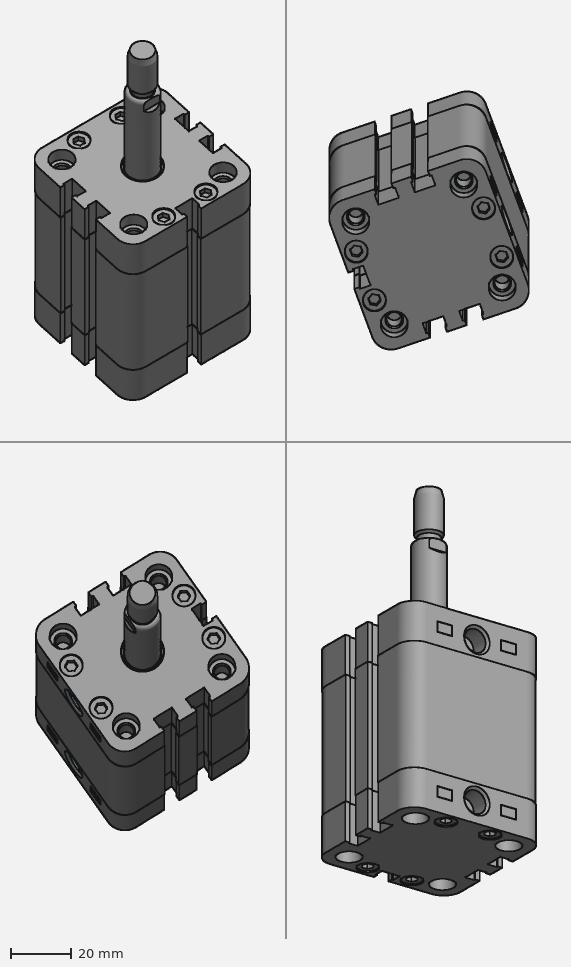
import cadquery as cq
import math

TOTAL_HEIGHT = 131.0
BLOCK_WIDTH = 54.8
BLOCK_HEIGHT = 75.2
CAP_HEIGHT = 14.5
BARREL_HEIGHT = BLOCK_HEIGHT - 2 * CAP_HEIGHT
CAP_CORNER_RADIUS = 6.7
BARREL_CORNER_RADIUS = 7.1
HALF_WIDTH = BLOCK_WIDTH / 2

SLOT_PITCH = 12.8
SLOT_DEPTH = 5.5
SLOT_INNER_WIDTH = 7.0
SLOT_MOUTH_WIDTH = 5.6
SLOT_LIP_THICKNESS = 1.8
CAP_SLOT_CLEARANCE = 0.16

MOUNT_PITCH = 38.0
MOUNT_COUNTERBORE_DIAMETER = 9.0
MOUNT_COUNTERBORE_DEPTH = 5.0
MOUNT_CHAMFER_DIAMETER = 6.0
MOUNT_HOLE_DIAMETER = 5.0
MOUNT_HOLE_DEPTH = 12.5

SCREW_PITCH_X = 44.8
SCREW_PITCH_Y = 18.0
SCREW_RECESS_DIAMETER = 7.7
SCREW_HEAD_DIAMETER = 7.5
SCREW_RECESS_DEPTH = 0.5
SOCKET_ACROSS_FLATS = 3.7
SOCKET_DEPTH = 2.0

PORT_FROM_END = 8.3
PORT_MOUTH_DIAMETER = 10.5
PORT_DIAMETER = 8.5
PORT_DEPTH = 7.9

LABEL_WIDTH = 6.0
LABEL_HEIGHT = 3.8
LABEL_DEPTH = 0.3
LABEL_PITCH = 26.0
LABEL_FROM_END = 7.6

ROD_DIAMETER = 12.0
ROD_SHOULDER_RADIUS = 1.5
ROD_SEAT_Z = BLOCK_HEIGHT - CAP_HEIGHT
ROD_SHOULDER_Z = 112.0
UNDERCUT_DIAMETER = 8.1
UNDERCUT_MOUTH_DIAMETER = 8.5
THREAD_DIAMETER = 10.0
THREAD_START_Z = 115.0
THREAD_TIP_DIAMETER = 8.5
THREAD_TIP_CHAMFER_HEIGHT = 2.6
FLATS_WIDTH = 10.0
FLATS_BOTTOM_Z = 107.8

WIPER_OUTER_DIAMETER = 14.4
WIPER_INNER_DIAMETER = 13.8
WIPER_RECESS_DEPTH = 0.4
WIPER_GAP_DIAMETER = 12.6
WIPER_GAP_DEPTH = 1.3


def slot_cutter(height, clearance):
    """Undercut slot open towards +X, with its mouth in the plane X = 0.

    The clearance widens the slot on each side.
    """
    mouth_width = SLOT_MOUTH_WIDTH + 2 * clearance
    inner_width = SLOT_INNER_WIDTH + 2 * clearance
    inner_depth = SLOT_DEPTH - SLOT_LIP_THICKNESS
    mouth = cq.Workplane("XY").box(2 * SLOT_DEPTH, mouth_width, height, centered=(True, True, False))
    inner = (
        cq.Workplane("XY")
        .box(inner_depth, inner_width, height, centered=(False, True, False))
        .translate((-SLOT_DEPTH, 0, 0))
    )
    return mouth.union(inner)


def profile_block(height, corner_radius, slot_clearance):
    """Square block with rounded vertical edges and the five slots."""
    block = (
        cq.Workplane("XY")
        .box(BLOCK_WIDTH, BLOCK_WIDTH, height, centered=(True, True, False))
        .edges("|Z")
        .fillet(corner_radius)
    )
    slot = slot_cutter(height, slot_clearance)
    block = block.cut(slot.translate((HALF_WIDTH, 0, 0)))
    for turn in (90, -90):
        for offset in (-SLOT_PITCH / 2, SLOT_PITCH / 2):
            side_slot = slot.translate((HALF_WIDTH, offset, 0)).rotate((0, 0, 0), (0, 0, 1), turn)
            block = block.cut(side_slot)
    return block


def mounting_holes():
    """Counterbored blind holes, going down from the plane Z = CAP_HEIGHT."""
    chamfer = (MOUNT_CHAMFER_DIAMETER - MOUNT_HOLE_DIAMETER) / 2
    floor = CAP_HEIGHT - MOUNT_COUNTERBORE_DEPTH
    bottom = CAP_HEIGHT - MOUNT_HOLE_DEPTH
    hole = (
        cq.Workplane("XZ")
        .moveTo(0, CAP_HEIGHT)
        .lineTo(MOUNT_COUNTERBORE_DIAMETER / 2, CAP_HEIGHT)
        .lineTo(MOUNT_COUNTERBORE_DIAMETER / 2, floor)
        .lineTo(MOUNT_CHAMFER_DIAMETER / 2, floor)
        .lineTo(MOUNT_HOLE_DIAMETER / 2, floor - chamfer)
        .lineTo(MOUNT_HOLE_DIAMETER / 2, bottom)
        .lineTo(0, bottom)
        .close()
        .revolve(360, (0, 0, 0), (0, 1, 0))
    )
    centres = cq.Workplane("XY").rect(MOUNT_PITCH, MOUNT_PITCH, forConstruction=True).vertices()
    return centres.eachpoint(hole.val(), combine=False, useLocalCoordinates=True)


def screw_head_cutter():
    """Tapered recess down to the screw head, and the hexagon socket in the head."""
    socket_corner_diameter = SOCKET_ACROSS_FLATS / math.cos(math.pi / 6)
    outer_face = cq.Workplane("XY", origin=(0, 0, CAP_HEIGHT))
    recess = (
        outer_face.circle(SCREW_RECESS_DIAMETER / 2)
        .workplane(offset=-SCREW_RECESS_DEPTH)
        .circle(SCREW_HEAD_DIAMETER / 2)
        .loft()
    )
    socket = (
        outer_face.polygon(6, socket_corner_diameter)
        .extrude(-SCREW_RECESS_DEPTH - SOCKET_DEPTH)
        .rotate((0, 0, 0), (0, 0, 1), 90)
    )
    return recess.union(socket)


def screw_heads():
    centres = cq.Workplane("XY").rect(SCREW_PITCH_X, SCREW_PITCH_Y, forConstruction=True).vertices()
    return centres.eachpoint(screw_head_cutter().val(), combine=False, useLocalCoordinates=True)


def port_cutter():
    """Blind port with a chamfered mouth, going in from the -X side."""
    chamfer = (PORT_MOUTH_DIAMETER - PORT_DIAMETER) / 2
    port_z = CAP_HEIGHT - PORT_FROM_END
    face = cq.Workplane("YZ", origin=(-HALF_WIDTH, 0, port_z))
    bore = face.circle(PORT_DIAMETER / 2).extrude(PORT_DEPTH)
    mouth = cq.Workplane(
        cq.Solid.makeCone(
            PORT_MOUTH_DIAMETER / 2,
            PORT_DIAMETER / 2,
            chamfer,
            pnt=cq.Vector(-HALF_WIDTH, 0, port_z),
            dir=cq.Vector(1, 0, 0),
        )
    )
    return bore.union(mouth)


def label_recesses():
    """Two shallow rectangular recesses beside the port."""
    return (
        cq.Workplane("YZ", origin=(-HALF_WIDTH, 0, CAP_HEIGHT - LABEL_FROM_END))
        .pushPoints([(-LABEL_PITCH / 2, 0), (LABEL_PITCH / 2, 0)])
        .rect(LABEL_WIDTH, LABEL_HEIGHT)
        .extrude(LABEL_DEPTH)
    )


def end_cap():
    """Cap with its inner face at Z = 0 and its outer face at Z = CAP_HEIGHT."""
    cap = profile_block(CAP_HEIGHT, CAP_CORNER_RADIUS, CAP_SLOT_CLEARANCE)
    cap = cap.cut(mounting_holes())
    cap = cap.cut(screw_heads())
    return cap.cut(port_cutter()).cut(label_recesses())


def wiper_cutter():
    """Tapered recess in the outer face and the deeper gap around the rod."""
    outer_face = cq.Workplane("XY", origin=(0, 0, CAP_HEIGHT))
    recess = (
        outer_face.circle(WIPER_OUTER_DIAMETER / 2)
        .workplane(offset=-WIPER_RECESS_DEPTH)
        .circle(WIPER_INNER_DIAMETER / 2)
        .loft()
    )
    gap = outer_face.circle(WIPER_GAP_DIAMETER / 2).extrude(-WIPER_GAP_DEPTH)
    return recess.union(gap)


def upper_cap():
    """End cap with the rod bore and the wiper."""
    rod_bore = cq.Workplane("XY").circle(ROD_DIAMETER / 2).extrude(CAP_HEIGHT)
    return end_cap().cut(rod_bore).cut(wiper_cutter()).translate((0, 0, ROD_SEAT_Z))


def lower_cap():
    """End cap mirrored so that its outer face is the bottom of the block."""
    return end_cap().mirror("XY").translate((0, 0, CAP_HEIGHT))


def barrel():
    return profile_block(BARREL_HEIGHT, BARREL_CORNER_RADIUS, 0).translate((0, 0, CAP_HEIGHT))


def rod_flat_cutter():
    """Wrench flat on the +X side, with a 45 degree run-out at its lower end."""
    flat_x = FLATS_WIDTH / 2
    run_out = ROD_DIAMETER - flat_x
    return (
        cq.Workplane("XZ")
        .moveTo(flat_x, ROD_SHOULDER_Z)
        .lineTo(flat_x, FLATS_BOTTOM_Z)
        .lineTo(flat_x + run_out, FLATS_BOTTOM_Z - run_out)
        .lineTo(flat_x + run_out, ROD_SHOULDER_Z)
        .close()
        .extrude(ROD_DIAMETER / 2, both=True)
    )


def piston_rod():
    """Turned rod with a rounded shoulder, a thread undercut and a threaded end."""
    rod_radius = ROD_DIAMETER / 2
    undercut_radius = UNDERCUT_DIAMETER / 2
    undercut_mouth_radius = UNDERCUT_MOUTH_DIAMETER / 2
    mouth_step = undercut_mouth_radius - undercut_radius
    thread_radius = THREAD_DIAMETER / 2
    thread_step = thread_radius - undercut_radius
    shoulder_bend = ROD_SHOULDER_RADIUS * (1 - math.sqrt(0.5))
    rod = (
        cq.Workplane("XZ")
        .moveTo(0, ROD_SEAT_Z)
        .lineTo(rod_radius, ROD_SEAT_Z)
        .lineTo(rod_radius, ROD_SHOULDER_Z - ROD_SHOULDER_RADIUS)
        .threePointArc(
            (rod_radius - shoulder_bend, ROD_SHOULDER_Z - shoulder_bend),
            (rod_radius - ROD_SHOULDER_RADIUS, ROD_SHOULDER_Z),
        )
        .lineTo(undercut_mouth_radius, ROD_SHOULDER_Z)
        .lineTo(undercut_radius, ROD_SHOULDER_Z + mouth_step)
        .lineTo(undercut_radius, THREAD_START_Z - thread_step)
        .lineTo(thread_radius, THREAD_START_Z)
        .lineTo(thread_radius, TOTAL_HEIGHT - THREAD_TIP_CHAMFER_HEIGHT)
        .lineTo(THREAD_TIP_DIAMETER / 2, TOTAL_HEIGHT)
        .lineTo(0, TOTAL_HEIGHT)
        .close()
        .revolve(360, (0, 0, 0), (0, 1, 0))
    )
    flat = rod_flat_cutter()
    return rod.cut(flat).cut(flat.mirror("YZ"))


result = cq.Compound.makeCompound(
    [lower_cap().val(), barrel().val(), upper_cap().val(), piston_rod().val()]
)